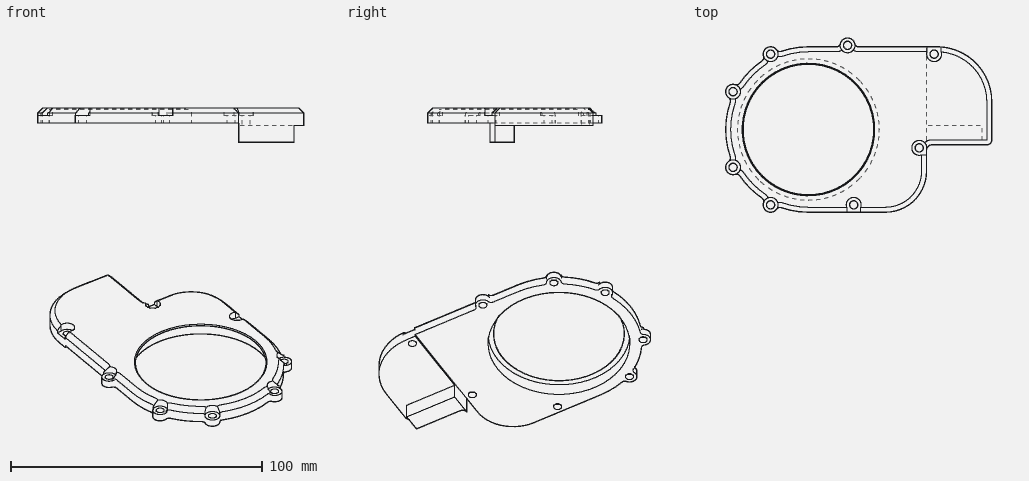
import cadquery as cq
import math


round_end_radius = 33.0
right_edge = 73.1
lobe_edge = 47.1
notch_edge = -6.2
upper_corner_radius = 22.0
lobe_corner_radius = 16.5
notch_inner_radius = 2.0
notch_tip_radius = 2.1

plate_thickness = 6.0
pad_depth = 7.0
block_depth = 13.7
edge_chamfer = 2.0

opening_radius = 26.0
opening_chamfer = 0.4
lip_thickness = 0.5
relief_radius = 28.2

block_end_x = 69.2
block_back_y = 1.6

lug_radius = 3.0
lug_blend_radius = 1.5
screw_hole_radius = 1.6
recess_depth = 3.0
mouth_half_width = 2.8
match_tolerance = 0.01
lug_inset = round_end_radius - lug_radius
lug_offset = 15.1
top_lug = (15.6, 33.5)
rim_lugs = [
    (-lug_offset, lug_inset),
    (-lug_inset, lug_offset),
    (-lug_inset, -lug_offset),
    (-lug_offset, -lug_inset),
]
outer_lugs = rim_lugs + [top_lug]

inner_seats = [
    ((50.1, lug_inset), (0, 1), (-mouth_half_width, mouth_half_width)),
    ((18.0, -lug_inset), (0, -1), (-mouth_half_width, mouth_half_width)),
    ((lobe_edge - lug_radius, -7.3), (1, 0), (-mouth_half_width, 0)),
]


def outline(depth):
    """Prism of the plate outline without lugs, from the top face down."""
    prism = (
        cq.Workplane("XY")
        .moveTo(0, -round_end_radius)
        .lineTo(lobe_edge, -round_end_radius)
        .lineTo(lobe_edge, notch_edge)
        .lineTo(right_edge, notch_edge)
        .lineTo(right_edge, round_end_radius)
        .lineTo(0, round_end_radius)
        .threePointArc((-round_end_radius, 0), (0, -round_end_radius))
        .close()
        .extrude(-depth)
    )
    corners = [
        (right_edge, round_end_radius, upper_corner_radius),
        (lobe_edge, -round_end_radius, lobe_corner_radius),
        (lobe_edge, notch_edge, notch_inner_radius),
        (right_edge, notch_edge, notch_tip_radius),
    ]
    for x, y, radius in corners:
        corner_edge = cq.selectors.NearestToPointSelector((x, y, -depth / 2))
        prism = prism.edges("|Z").edges(corner_edge).fillet(radius)
    return prism


def box(x_range, y_range, depth):
    """Box from the top face down to the given depth."""
    size_x = x_range[1] - x_range[0]
    size_y = y_range[1] - y_range[0]
    return (
        cq.Workplane("XY")
        .box(size_x, size_y, depth, centered=False)
        .translate((x_range[0], y_range[0], -depth))
    )


def cylinders(points, radius, depth):
    """Vertical cylinders from the top face down."""
    return cq.Workplane("XY").pushPoints(points).circle(radius).extrude(-depth)


def lug_blend_edges(body):
    """Vertical edges where the lug cylinders meet the plate side."""
    found = []
    for edge in body.edges("|Z").vals():
        middle = edge.Center()
        for x, y in outer_lugs:
            distance = math.hypot(middle.x - x, middle.y - y)
            if abs(distance - lug_radius) < match_tolerance:
                found.append(edge)
    return found


def plate():
    """Plate with blended lugs and a chamfered top edge."""
    body = outline(plate_thickness).union(cylinders(outer_lugs, lug_radius, plate_thickness))
    body = body.newObject(lug_blend_edges(body)).fillet(lug_blend_radius)
    return body.faces(">Z").edges().chamfer(edge_chamfer)


def underside():
    """Deeper pad under the upper right lobe and the block along the notch."""
    front_y = notch_edge - notch_inner_radius
    pad_area = box((lobe_edge, right_edge), (front_y, round_end_radius), pad_depth)
    block_area = box((lobe_edge, block_end_x), (front_y, block_back_y), block_depth)
    pad = outline(pad_depth).intersect(pad_area)
    block = outline(block_depth).intersect(block_area)
    chamfer_zone = box((lobe_edge, right_edge), (front_y, round_end_radius), edge_chamfer)
    return pad.union(block).cut(chamfer_zone)


def opening():
    """Cutter for the large opening, its top chamfer and the relief around it below."""
    bore = cylinders([(0, 0)], opening_radius, plate_thickness)
    relief = cylinders([(0, 0)], relief_radius, plate_thickness - lip_thickness)
    countersink = (
        cq.Workplane("XY")
        .circle(opening_radius + opening_chamfer)
        .workplane(offset=-opening_chamfer)
        .circle(opening_radius)
        .loft()
    )
    return bore.union(relief.translate((0, 0, -lip_thickness))).union(countersink)


def seat_mouth(center, direction, sides):
    """Straight cutter that opens an inner recess through the plate side."""
    angle = math.degrees(math.atan2(direction[1], direction[0]))
    mouth = box((0, lug_radius + edge_chamfer), sides, recess_depth)
    return mouth.rotate((0, 0, 0), (0, 0, 1), angle).translate((center[0], center[1], 0))


seat_centers = outer_lugs + [center for center, _, _ in inner_seats]

result = plate().union(underside()).cut(opening())
result = result.cut(cylinders(seat_centers, lug_radius, recess_depth))
for seat_center, mouth_direction, mouth_sides in inner_seats:
    result = result.cut(seat_mouth(seat_center, mouth_direction, mouth_sides))
result = result.cut(cylinders(seat_centers, screw_hole_radius, pad_depth))